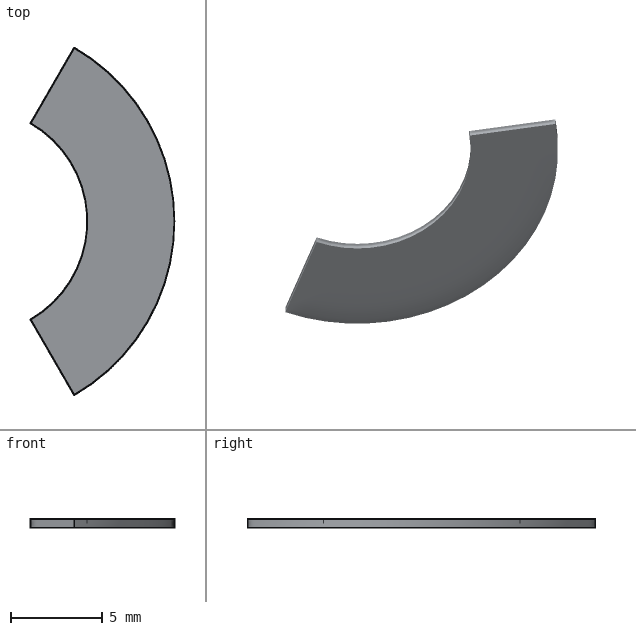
import cadquery as cq
import math

chord_length = 19.05
inner_radius = 6.21
thickness = 0.5
half_angle = math.radians(60)

outer_radius = chord_length / 2 / math.sin(half_angle)


def arc_point(radius, angle):
    """Point at the given radius and angle from the ring centre."""
    return (radius * math.cos(angle), radius * math.sin(angle))


result = (
    cq.Workplane("XY")
    .moveTo(*arc_point(inner_radius, -half_angle))
    .lineTo(*arc_point(outer_radius, -half_angle))
    .threePointArc(arc_point(outer_radius, 0), arc_point(outer_radius, half_angle))
    .lineTo(*arc_point(inner_radius, half_angle))
    .threePointArc(arc_point(inner_radius, 0), arc_point(inner_radius, -half_angle))
    .close()
    .extrude(thickness)
)